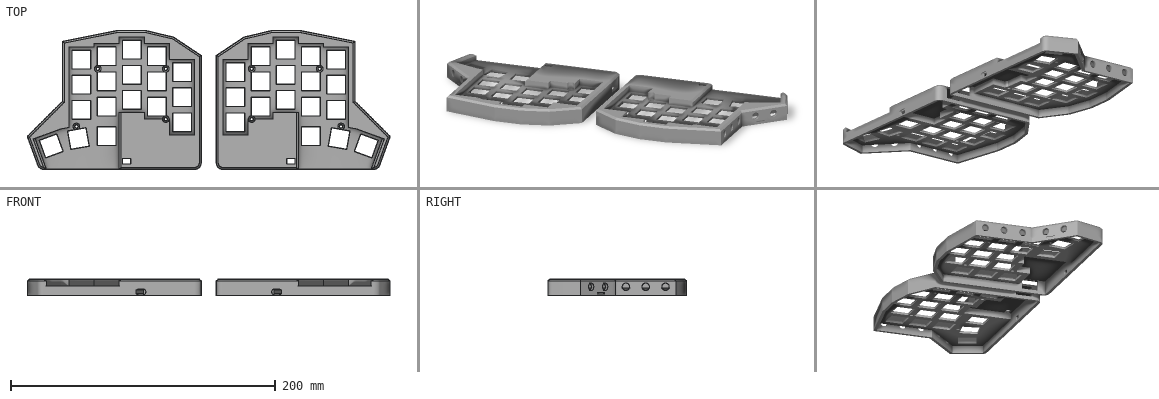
import cadquery as cq
import math

CASE_HEIGHT = 12.6
CASE_DEPTH = 105.22
HALF_SPAN = 274.82 / 2
INNER_X = 5.65
BACK_Y = CASE_DEPTH / 2
FRONT_Y = -CASE_DEPTH / 2
PLATE_TOP = 7.5
PLATE_THICKNESS = 1.7
CAVITY_CEILING = PLATE_TOP - PLATE_THICKNESS
ROOF_THICKNESS = 2.0
RIM_WALL = 5.0
SKIRT_WALL = 2.5
TOP_CHAMFER = 1.5
FRONT_CORNER_RADIUS = 5.0

KEY_PITCH = 19.05
HALF_CELL = KEY_PITCH / 2
KEY_HOLE = 14.0
KEY_ROWS = 3
COLUMN_DROPS = [17.0, 5.0, 0.0, 5.0, 7.5]
FIRST_COLUMN_X = INNER_X + RIM_WALL + HALF_CELL
COLUMN_X = [FIRST_COLUMN_X + i * KEY_PITCH for i in range(len(COLUMN_DROPS))]
TOP_KEY_Y = [BACK_Y - RIM_WALL - HALF_CELL - drop for drop in COLUMN_DROPS]
OUTER_CELL_X = COLUMN_X[-1] + HALF_CELL

STRAIGHT_THUMB = (COLUMN_X[3], -27.4, 0.0)
MIDDLE_THUMB = (98.7, -29.25, 10.0)
LAST_THUMB = (119.3, -34.8, 20.0)
THUMB_KEYS = [STRAIGHT_THUMB, MIDDLE_THUMB, LAST_THUMB]

INNER_BACK_Y = 33.6
SHOULDER = (26.7, 47.6)
BACK_FLAT_X = (47.9, 69.3)
OUTER_X = OUTER_CELL_X + RIM_WALL
OUTER_BACK_Y = 44.3
NOTCH_Y = -1.2
TIP_Y = NOTCH_Y - (HALF_SPAN - OUTER_X)

SCREW_DIAMETER = 2.4
SCREW_HEAD_DIAMETER = 5.0
SCREW_CONE_HEIGHT = (SCREW_HEAD_DIAMETER - SCREW_DIAMETER) / 2
SCREW_HEAD_WALL = 1.0
SCREW_KEY_OFFSET = 6.7
SCREWS = [
    (COLUMN_X[1] - SCREW_KEY_OFFSET, TOP_KEY_Y[1] - HALF_CELL),
    (COLUMN_X[1] - SCREW_KEY_OFFSET, TOP_KEY_Y[1] - (KEY_ROWS - 0.5) * KEY_PITCH),
    (COLUMN_X[3] + SCREW_KEY_OFFSET, TOP_KEY_Y[3] - HALF_CELL),
    (100.2, -20.1),
]

POCKET_DIAMETER = 5.6
POCKET_DEPTH = 2.6
POCKET_SPACING = 15.0
POCKET_Z = 6.8
SIDE_POCKETS = 3
WING_POCKETS = 2

WING_SLOT_LENGTH = 7.0
WING_SLOT_HEIGHT = 1.2
WING_SLOT_DEPTH = 1.0
WING_SLOT_Z = 2.0
WING_SLOT_SHIFT = 3.4

SWITCH_X = 51.4
SWITCH_Z = 2.9
SWITCH_RECESS_LENGTH = 7.5
SWITCH_RECESS_HEIGHT = 4.4
SWITCH_RECESS_DEPTH = 1.0
SWITCH_OPENING_X = 52.4
SWITCH_OPENING_WIDTH = 5.6
SWITCH_OPENING_HEIGHT = 2.6

PORT_Y = -38.0
PORT_WIDTH = 13.0
PORT_BOTTOM = 2.6
PORT_HEIGHT = 7.8

ROOF_HOLE_CENTER = (62.2, -46.4)
ROOF_HOLE_LENGTH = 6.0
ROOF_HOLE_WIDTH = 4.0


def slope(tilt):
    """Slope of a line that falls to the right at the given tilt."""
    return -math.tan(math.radians(tilt))


def thumb_point(key, right, up):
    """Point at (right, up) in the tilted frame of a thumb key."""
    x, y, tilt = key
    angle = math.radians(tilt)
    return (
        x + right * math.cos(angle) + up * math.sin(angle),
        y - right * math.sin(angle) + up * math.cos(angle),
    )


def front_foot(point):
    """Point on the front line reached from a point by running along the wing's end face."""
    return (point[0] + (point[1] - FRONT_Y) * slope(LAST_THUMB[2]), FRONT_Y)


def prism(points, bottom, top, inset=0.0):
    sketch = cq.Workplane("XY").workplane(offset=bottom).polyline(points).close()
    if inset:
        sketch = sketch.offset2D(-inset, "intersection")
    return sketch.extrude(top - bottom)


def midpoint(start, end):
    return ((start[0] + end[0]) / 2, (start[1] + end[1]) / 2)


SIDE_TOP = (OUTER_X, OUTER_BACK_Y)
NOTCH = (OUTER_X, NOTCH_Y)
TIP = (HALF_SPAN, TIP_Y)

CASE_OUTLINE = [
    (INNER_X, FRONT_Y),
    (INNER_X, INNER_BACK_Y),
    SHOULDER,
    (BACK_FLAT_X[0], BACK_Y),
    (BACK_FLAT_X[1], BACK_Y),
    SIDE_TOP,
    NOTCH,
    TIP,
    front_foot(TIP),
]


def block_steps():
    """Stepped back edge of the electronics block below the first three columns."""
    bottoms = [y - (KEY_ROWS - 0.5) * KEY_PITCH for y in TOP_KEY_Y]
    sides = [x + HALF_CELL for x in COLUMN_X]
    return [
        (sides[0], bottoms[0]),
        (sides[0], bottoms[1]),
        (sides[1], bottoms[1]),
        (sides[1], bottoms[2]),
        (sides[2], bottoms[2]),
    ]


def block_outline():
    steps = block_steps()
    return [(INNER_X, FRONT_Y), (INNER_X, steps[0][1])] + steps + [(steps[-1][0], FRONT_Y)]


def thumb_edge():
    """Back edge of the thumb cells, from the outer column to the far corner of the last key."""
    middle_top = thumb_point(MIDDLE_THUMB, 0, HALF_CELL)
    last_top = thumb_point(LAST_THUMB, 0, HALF_CELL)
    middle_slope = slope(MIDDLE_THUMB[2])
    last_slope = slope(LAST_THUMB[2])
    start = (OUTER_CELL_X, middle_top[1] + middle_slope * (OUTER_CELL_X - middle_top[0]))
    rise = last_top[1] - middle_top[1]
    bend_x = (rise + middle_slope * middle_top[0] - last_slope * last_top[0]) / (middle_slope - last_slope)
    bend = (bend_x, middle_top[1] + middle_slope * (bend_x - middle_top[0]))
    return [start, bend, thumb_point(LAST_THUMB, HALF_CELL, HALF_CELL)]


def recess_outline():
    """Outline around all key cells, clockwise from the front end of the block's side."""
    steps = block_steps()
    points = [(steps[-1][0], FRONT_Y)] + steps[::-1]
    points.append((INNER_X + RIM_WALL, steps[0][1]))
    for x, y in zip(COLUMN_X, TOP_KEY_Y):
        points += [(x - HALF_CELL, y + HALF_CELL), (x + HALF_CELL, y + HALF_CELL)]
    points += thumb_edge()
    points.append(front_foot(points[-1]))
    return points


def case_blank():
    blank = prism(CASE_OUTLINE, 0, CASE_HEIGHT)
    blank = blank.edges("|Z and <Y").fillet(FRONT_CORNER_RADIUS)
    return blank.faces(">Z").chamfer(TOP_CHAMFER)


def cut_recess(case):
    """Lower the key area to the plate and chamfer the two walls that reach the front."""
    outline = recess_outline()
    case = case.cut(prism(outline, PLATE_TOP, CASE_HEIGHT))
    block_side = outline[:2]
    wing_rim = outline[-2:]
    for start, end in (block_side, wing_rim):
        middle = midpoint(start, end) + (CASE_HEIGHT,)
        case = case.edges(cq.NearestToPointSelector(middle)).chamfer(TOP_CHAMFER)
    return case


def underside_cavity():
    """Open space under the plate, taller inside the electronics block."""
    block_space = prism(block_outline(), 0, CASE_HEIGHT - ROOF_THICKNESS, SKIRT_WALL)
    head_guard = (
        cq.Workplane("XY")
        .pushPoints(SCREWS)
        .circle(SCREW_HEAD_DIAMETER / 2 + SCREW_HEAD_WALL)
        .extrude(CASE_HEIGHT)
    )
    plate_space = prism(CASE_OUTLINE, 0, CAVITY_CEILING, SKIRT_WALL)
    return block_space.cut(head_guard).union(plate_space)


def key_holes():
    keys = list(THUMB_KEYS)
    for x, top_y in zip(COLUMN_X, TOP_KEY_Y):
        keys += [(x, top_y - row * KEY_PITCH, 0.0) for row in range(KEY_ROWS)]
    holes = cq.Workplane("XY")
    for x, y, tilt in keys:
        hole = cq.Workplane("XY").rect(KEY_HOLE, KEY_HOLE).extrude(PLATE_TOP)
        holes.add(hole.rotate((0, 0, 0), (0, 0, 1), -tilt).translate((x, y, 0)))
    return holes.combine()


def screw_holes():
    hole_radius = SCREW_DIAMETER / 2
    head_radius = SCREW_HEAD_DIAMETER / 2
    profile = [
        (0, 0),
        (hole_radius, 0),
        (hole_radius, PLATE_TOP - SCREW_CONE_HEIGHT),
        (head_radius, PLATE_TOP),
        (head_radius, CASE_HEIGHT),
        (0, CASE_HEIGHT),
    ]
    hole = cq.Workplane("XZ").polyline(profile).close().revolve(360, (0, 0, 0), (0, 1, 0))
    holes = cq.Workplane("XY")
    for x, y in SCREWS:
        holes.add(hole.translate((x, y, 0)))
    return holes.combine()


def face_workplane(back, front):
    """Workplane at the foot of an outer face, X towards its back end and Y up."""
    along = (back[0] - front[0], back[1] - front[1], 0)
    outward = (along[1], -along[0], 0)
    return cq.Workplane(cq.Plane(origin=midpoint(back, front) + (0,), xDir=along, normal=outward))


def round_pockets(back, front, count):
    return (
        face_workplane(back, front)
        .center(0, POCKET_Z)
        .rarray(POCKET_SPACING, 1, count, 1)
        .circle(POCKET_DIAMETER / 2)
        .extrude(-POCKET_DEPTH)
    )


def wing_slot():
    return (
        face_workplane(NOTCH, TIP)
        .center(WING_SLOT_SHIFT, WING_SLOT_Z)
        .rect(WING_SLOT_LENGTH, WING_SLOT_HEIGHT)
        .extrude(-WING_SLOT_DEPTH)
    )


def switch_opening():
    front = cq.Workplane("XZ", origin=(0, FRONT_Y, SWITCH_Z))
    recess = (
        front.center(SWITCH_X, 0)
        .slot2D(SWITCH_RECESS_LENGTH, SWITCH_RECESS_HEIGHT)
        .extrude(-SWITCH_RECESS_DEPTH)
    )
    opening = (
        front.center(SWITCH_OPENING_X, 0)
        .rect(SWITCH_OPENING_WIDTH, SWITCH_OPENING_HEIGHT)
        .extrude(-SKIRT_WALL)
    )
    return recess.union(opening)


def port():
    box = cq.Workplane("XY").box(SKIRT_WALL, PORT_WIDTH, PORT_HEIGHT, centered=(False, True, False))
    return box.translate((INNER_X, PORT_Y, PORT_BOTTOM))


def roof_hole():
    return (
        cq.Workplane("XY")
        .center(*ROOF_HOLE_CENTER)
        .rect(ROOF_HOLE_LENGTH, ROOF_HOLE_WIDTH)
        .extrude(CASE_HEIGHT)
    )


def keyboard_case():
    case = cut_recess(case_blank())
    cutters = [
        underside_cavity(),
        key_holes(),
        screw_holes(),
        round_pockets(SIDE_TOP, NOTCH, SIDE_POCKETS),
        round_pockets(NOTCH, TIP, WING_POCKETS),
        wing_slot(),
        switch_opening(),
        port(),
        roof_hole(),
    ]
    for cutter in cutters:
        case = case.cut(cutter)
    return case


right_case = keyboard_case().solids()
left_case = right_case.mirror("YZ").solids()

result = cq.Compound.makeCompound([left_case.val(), right_case.val()])